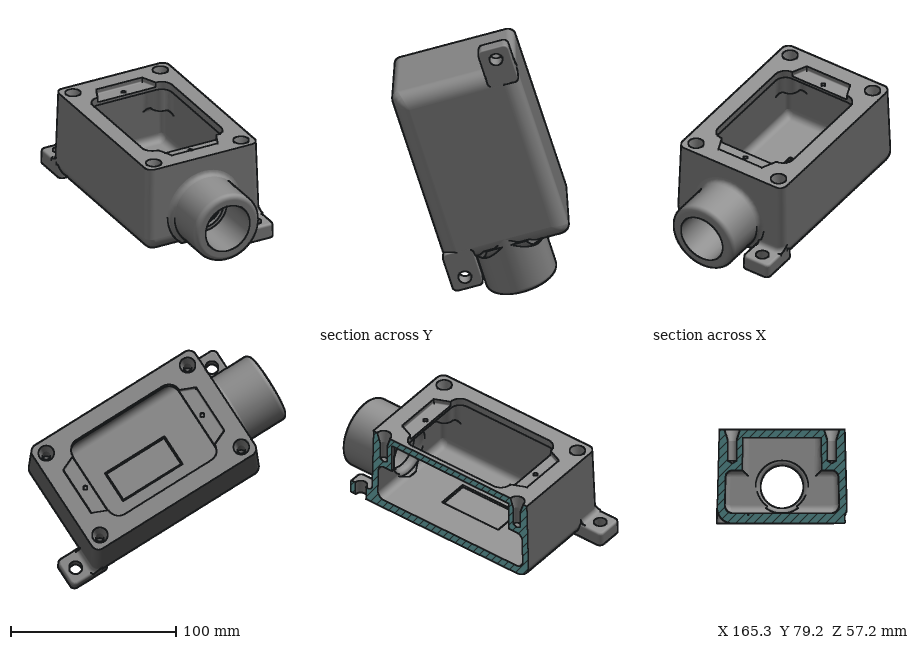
import cadquery as cq
import math

OVERALL_LENGTH = 165.31

HEIGHT = 57.15
TOP_LENGTH = 117.2
TOP_WIDTH = 76.2
DRAFT_ANGLE = 1.5
DRAFT_SLOPE = math.tan(math.radians(DRAFT_ANGLE))
BASE_LENGTH = TOP_LENGTH + 2 * HEIGHT * DRAFT_SLOPE
BASE_WIDTH = TOP_WIDTH + 2 * HEIGHT * DRAFT_SLOPE
CORNER_RADIUS = 4.7625
BOTTOM_RADIUS = 9.525

WALL = 4.7625
FLOOR_Z = 6.35
RIM_THICKNESS = 5.2
RIM_BOTTOM_Z = HEIGHT - RIM_THICKNESS
CAVITY_LENGTH = BASE_LENGTH - 2 * (WALL + FLOOR_Z * DRAFT_SLOPE)
CAVITY_WIDTH = BASE_WIDTH - 2 * (WALL + FLOOR_Z * DRAFT_SLOPE)
CAVITY_CORNER_RADIUS = 3.175
CAVITY_BOTTOM_RADIUS = 4.7625

OPENING_LENGTH = 76.2
OPENING_WIDTH = 54.56
OPENING_CORNER_RADIUS = 7.14
LEDGE_DEPTH = 3.175
LEDGE_SPAN = 95.4
LEDGE_OUTER_WIDTH = 31.75
LEDGE_INNER_WIDTH = 40.2
LEDGE_ROOT_RADIUS = 0.8
LEDGE_LIP_X = 38.6
LEDGE_HOLE_DIAMETER = 2.64
LEDGE_HOLE_X = 42.0

SCREW_X = 50.8
SCREW_Y = 30.1625
BOSS_DIAMETER = 12.7
BOSS_DEPTH = 25.0
BOSS_BLEND_RADIUS = 4.0
SCREW_ENTRY_DIAMETER = 9.525
SCREW_ENTRY_DEPTH = 7.0
SCREW_DIAMETER = 4.98
SCREW_DEPTH = 19.05
DRILL_POINT_ANGLE = 118

LUG_END_X = -76.2
LUG_INNER_X = -50.0
LUG_WIDTH = 19.3
LUG_HEIGHT = 9.525
LUG_CORNER_RADIUS = 3.175
LUG_TOP_RADIUS = 1.5875
LUG_BOTTOM_RADIUS = 0.8
LUG_BLEND_RADIUS = 3.175
LUG_HOLE_DIAMETER = 7.94
LUG_HOLE_X = -68.26
LUG_HOLE_Y = -SCREW_Y

HUB_DIAMETER = 44.45
HUB_RADIUS = HUB_DIAMETER / 2
HUB_END_X = LUG_END_X + OVERALL_LENGTH
HUB_EDGE_RADIUS = 3.175
HUB_BLEND_RADIUS = 3.175
THROAT_DIAMETER = 25.73
THROAT_EDGE_RADIUS = 3.175
THROAT_LENGTH = 5.6
HUB_BORE_DIAMETER = 30.5

PLATE_LENGTH = 42.9
PLATE_WIDTH = 20.6
PLATE_DEPTH = 0.8
PLATE_TAPER = 45


def drafted_block(length, width, bottom_z, height, corner_radius, bottom_radius):
    """Block narrowing upward, with rounded corners and rounded bottom edges."""
    block = (
        cq.Workplane("XY")
        .workplane(offset=bottom_z)
        .rect(length, width)
        .extrude(height, taper=DRAFT_ANGLE)
    )
    block = block.edges("not(|X or |Y)").fillet(corner_radius)
    return block.faces("<Z").edges().fillet(bottom_radius)


def make_hub():
    """Round hub, lying along X and tangent to the base plane."""
    return (
        cq.Workplane("YZ")
        .center(0, HUB_RADIUS)
        .circle(HUB_RADIUS)
        .extrude(HUB_END_X)
        .faces(">X")
        .edges()
        .fillet(HUB_EDGE_RADIUS)
    )


def make_hub_blend():
    """Concave blend between the hub and the drafted end wall, kept off the rounded bottom."""
    wall_drop = HEIGHT / 2
    wall = (
        cq.Workplane("XY")
        .workplane(offset=-wall_drop)
        .rect(BASE_LENGTH + 2 * wall_drop * DRAFT_SLOPE, BASE_WIDTH + 2 * wall_drop * DRAFT_SLOPE)
        .extrude(HEIGHT + wall_drop, taper=DRAFT_ANGLE)
    )
    hub = cq.Workplane("YZ").center(0, HUB_RADIUS).circle(HUB_RADIUS).extrude(HUB_END_X)
    blended = wall.union(hub).edges("%ELLIPSE").fillet(HUB_BLEND_RADIUS)
    drum = (
        cq.Workplane("YZ", origin=(BASE_LENGTH / 2 - WALL, 0, HUB_RADIUS))
        .circle(HUB_RADIUS + HUB_BLEND_RADIUS)
        .extrude(WALL + HUB_BLEND_RADIUS)
    )
    limit = drafted_block(
        BASE_LENGTH + 2 * HUB_BLEND_RADIUS,
        BASE_WIDTH,
        0,
        HEIGHT,
        CORNER_RADIUS,
        BOTTOM_RADIUS,
    )
    return blended.intersect(drum).intersect(limit)


def make_lug():
    """Lug at the -X, -Y corner, blended into the end wall and round the housing corner."""
    outer_y = -BASE_WIDTH / 2
    lug = (
        cq.Workplane("XY")
        .moveTo(LUG_END_X, outer_y)
        .rect(LUG_INNER_X - LUG_END_X, LUG_WIDTH, centered=False)
        .extrude(LUG_HEIGHT, taper=DRAFT_ANGLE)
        .edges("not(|X or |Y)")
        .fillet(LUG_CORNER_RADIUS)
    )
    lug = lug.faces(">Z").edges().fillet(LUG_TOP_RADIUS)
    lug = lug.faces("<Z").edges().fillet(LUG_BOTTOM_RADIUS)
    return lug.union(make_lug_blend(outer_y))


def make_lug_blend(outer_y):
    """Concave blend from the lug top up to the wall, following the housing corner."""
    blend_top_z = LUG_HEIGHT + LUG_BLEND_RADIUS
    wall_x = -BASE_LENGTH / 2 + blend_top_z * DRAFT_SLOPE
    corner_x = wall_x + CORNER_RADIUS
    corner_y = outer_y + blend_top_z * DRAFT_SLOPE + CORNER_RADIUS
    inner_y = outer_y + LUG_WIDTH - LUG_TOP_RADIUS
    arc_offset = LUG_BLEND_RADIUS * (1 - math.sqrt(0.5))
    root_z = LUG_HEIGHT - LUG_TOP_RADIUS

    outline = (
        cq.Workplane("XZ", origin=(corner_x, corner_y, 0))
        .moveTo(0, root_z)
        .lineTo(-CORNER_RADIUS - LUG_BLEND_RADIUS, root_z)
        .lineTo(-CORNER_RADIUS - LUG_BLEND_RADIUS, LUG_HEIGHT)
        .threePointArc(
            (-CORNER_RADIUS - arc_offset, LUG_HEIGHT + arc_offset),
            (-CORNER_RADIUS, blend_top_z),
        )
        .lineTo(0, blend_top_z)
        .close()
    )
    straight = outline.extrude(corner_y - inner_y)
    around_corner = outline.toPending().revolve(90, (0, 0, 0), (0, 1, 0))
    side_limit = (
        cq.Workplane("XY")
        .moveTo(LUG_END_X, outer_y)
        .rect(-LUG_END_X, BASE_WIDTH, centered=False)
        .extrude(HEIGHT, taper=DRAFT_ANGLE)
    )
    return straight.union(around_corner).intersect(side_limit)


def make_boss():
    """Screw boss in the +X, +Y corner of the cavity."""
    return (
        cq.Workplane("XY")
        .workplane(offset=HEIGHT - BOSS_DEPTH)
        .center(SCREW_X, SCREW_Y)
        .circle(BOSS_DIAMETER / 2)
        .extrude(BOSS_DEPTH)
    )


def make_cavity():
    """Space below the rim, less the screw bosses hanging in its corners."""
    cavity = drafted_block(
        CAVITY_LENGTH,
        CAVITY_WIDTH,
        FLOOR_Z,
        RIM_BOTTOM_Z - FLOOR_Z,
        CAVITY_CORNER_RADIUS,
        CAVITY_BOTTOM_RADIUS,
    )
    quarter_box = (
        cq.Workplane("XY")
        .rect(CAVITY_LENGTH, CAVITY_WIDTH, centered=False)
        .extrude(HEIGHT)
    )
    quarter = cavity.intersect(quarter_box).cut(make_boss())
    quarter = quarter.newObject(boss_root_edges(quarter)).fillet(BOSS_BLEND_RADIUS)
    half = quarter.union(quarter.mirror("YZ"))
    return half.union(half.mirror("XZ"))


def boss_root_edges(quarter):
    """Edges where the boss meets the cavity walls, without the free lower rim of the boss."""
    lowest_z = HEIGHT - BOSS_DEPTH - BOSS_BLEND_RADIUS
    highest_z = RIM_BOTTOM_Z - BOSS_BLEND_RADIUS
    roots = []
    for edge in quarter.edges().vals():
        center = edge.Center()
        beside_boss = center.x > SCREW_X - BOSS_DIAMETER and center.y > SCREW_Y - BOSS_DIAMETER
        free_rim = edge.geomType() == "CIRCLE" and center.x < SCREW_X
        if beside_boss and lowest_z < center.z < highest_z and not free_rim:
            roots.append(edge)
    return roots


def make_opening():
    """Opening through the rim, with the two end ledges."""
    opening = (
        cq.Workplane("XY")
        .workplane(offset=RIM_BOTTOM_Z)
        .rect(OPENING_LENGTH, OPENING_WIDTH)
        .extrude(RIM_THICKNESS)
        .edges("|Z")
        .fillet(OPENING_CORNER_RADIUS)
    )
    outer_x = LEDGE_SPAN / 2
    inner_x = LEDGE_LIP_X - LEDGE_ROOT_RADIUS
    right_half = [
        (inner_x, -LEDGE_INNER_WIDTH / 2),
        (outer_x, -LEDGE_OUTER_WIDTH / 2),
        (outer_x, LEDGE_OUTER_WIDTH / 2),
        (inner_x, LEDGE_INNER_WIDTH / 2),
    ]
    left_half = [(-x, -y) for x, y in right_half]
    ledges = (
        cq.Workplane("XY")
        .workplane(offset=HEIGHT - LEDGE_DEPTH)
        .polyline(right_half + left_half)
        .close()
        .extrude(LEDGE_DEPTH)
        .faces("<Z")
        .edges("not |X")
        .fillet(LEDGE_ROOT_RADIUS)
    )
    return opening.union(ledges)


def make_screw_hole(x, y):
    """Tapered entry, then the screw bore with a drill point."""
    entry = SCREW_ENTRY_DIAMETER / 2
    bore = SCREW_DIAMETER / 2
    point_depth = bore * math.tan(math.radians(90 - DRILL_POINT_ANGLE / 2))
    return (
        cq.Workplane("XZ", origin=(x, y, HEIGHT))
        .lineTo(entry, 0)
        .lineTo(bore, -SCREW_ENTRY_DEPTH)
        .lineTo(bore, -SCREW_DEPTH)
        .lineTo(0, -SCREW_DEPTH - point_depth)
        .close()
        .revolve(360, (0, 0, 0), (0, 1, 0))
    )


def make_throat():
    """Hub bore, narrowing to a throat that is rounded where it enters the cavity."""
    wall_x = CAVITY_LENGTH / 2 - (HUB_RADIUS - FLOOR_Z) * DRAFT_SLOPE
    bore = THROAT_DIAMETER / 2
    mouth = bore + THROAT_EDGE_RADIUS
    arc_offset = THROAT_EDGE_RADIUS * (1 - math.sqrt(0.5))
    mouth_start_x = wall_x - THROAT_EDGE_RADIUS
    return (
        cq.Workplane("XY", origin=(0, 0, HUB_RADIUS))
        .moveTo(mouth_start_x, 0)
        .lineTo(mouth_start_x, mouth)
        .lineTo(wall_x, mouth)
        .threePointArc(
            (wall_x + arc_offset, bore + arc_offset),
            (wall_x + THROAT_EDGE_RADIUS, bore),
        )
        .lineTo(wall_x + THROAT_LENGTH, bore)
        .lineTo(wall_x + THROAT_LENGTH, HUB_BORE_DIAMETER / 2)
        .lineTo(HUB_END_X, HUB_BORE_DIAMETER / 2)
        .lineTo(HUB_END_X, 0)
        .close()
        .revolve(360, (0, 0, 0), (1, 0, 0))
    )


def vertical_hole(x, y, diameter, bottom_z, height):
    """Plug for a plain vertical hole, standing on bottom_z."""
    return cq.Workplane("XY", origin=(x, y, bottom_z)).circle(diameter / 2).extrude(height)


SCREW_POSITIONS = [(x, y) for x in (-SCREW_X, SCREW_X) for y in (-SCREW_Y, SCREW_Y)]

body = drafted_block(BASE_LENGTH, BASE_WIDTH, 0, HEIGHT, CORNER_RADIUS, BOTTOM_RADIUS)
body = body.union(make_hub()).union(make_hub_blend())

lug = make_lug()
lug_hole = vertical_hole(LUG_HOLE_X, LUG_HOLE_Y, LUG_HOLE_DIAMETER, 0, LUG_HEIGHT)
for angle in (0, 180):
    body = body.union(lug.rotate((0, 0, 0), (0, 0, 1), angle))
    body = body.cut(lug_hole.rotate((0, 0, 0), (0, 0, 1), angle))

body = body.cut(make_cavity())
body = body.cut(make_opening())
body = body.cut(make_throat())

for x, y in SCREW_POSITIONS:
    body = body.cut(make_screw_hole(x, y))

for x in (-LEDGE_HOLE_X, LEDGE_HOLE_X):
    body = body.cut(vertical_hole(x, 0, LEDGE_HOLE_DIAMETER, RIM_BOTTOM_Z, RIM_THICKNESS))

plate_recess = (
    cq.Workplane("XY", origin=(0, 0, FLOOR_Z))
    .rect(PLATE_LENGTH, PLATE_WIDTH)
    .extrude(-PLATE_DEPTH, taper=PLATE_TAPER)
)
body = body.cut(plate_recess)

result = body